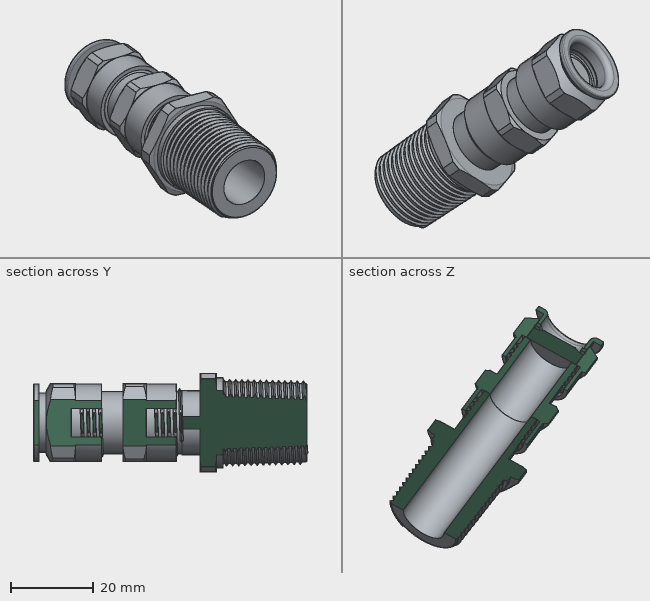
import cadquery as cq
import math


bush_flange_end = 1.35
nut_start = 2.96
bush_end = 4.25
ring_end = 5.15
seal_end = 9.2
nut_hex_end = 10.19
nut_end = 16.6
middle_hex_start = 21.76
middle_hex_end = 27.5
middle_end = 34.78
entry_neck_start = 36.15
entry_hex_start = 40.5
entry_hex_end = 44.6
entry_shoulder_end = 46.2
entry_end = 66.7

collar_radius = 18.94 / 2
neck_radius = 14.5 / 2
bush_bore_radius = 12.4 / 2
bush_lip_radius = 1.5
bush_rim_fillet = 0.25
ring_bore_radius = 11.8 / 2

seal_face_radius = 8.9 / 2
seal_cone_length = 0.6

small_across_flats = 19.0
nut_corner_radius = 10.5
middle_corner_radius = 10.6
entry_across_flats = 24.0
entry_corner_radius = 26.4 / 2
nut_nose_radius = 7.57
nut_nose_length = 1.7
nut_rear_chamfer_length = 0.3
small_chamfer_radius = 9.6
middle_chamfer_length = 0.6
entry_chamfer_radius = 12.0
entry_chamfer_length = 0.3

stem_radius = 15.27 / 2
entry_neck_radius = 15.7 / 2
passage_radius = 11.8 / 2
socket_radius = 8.4
entry_stem_start = middle_hex_end
entry_shoulder_radius = 22.03 / 2

thread_pitch = 1.5
stem_ridge_half_width = 0.42
stem_ridge_height = 0.73
taper_ridge_half_width = 0.5
taper_ridge_height = 0.6
ridge_root_sink = 0.05
middle_thread_start = 10.7
middle_thread_end = 16.7
entry_thread_start = 28.83
entry_thread_end = 36.1
taper_thread_start = 45.52
taper_thread_end = 66.36
taper_root_radius = 10.02
taper_slope = 1 / 45
entry_end_chamfer = 0.3


def cylinder(start, end, radius):
    """Solid cylinder along X."""
    return cq.Workplane("YZ").workplane(offset=start).circle(radius).extrude(end - start)


def turned(points):
    """Solid of revolution about X from (x, radius) points."""
    return cq.Workplane("XY").polyline(points).close().revolve(360, (0, 0, 0), (1, 0, 0))


def hexagon(start, end, across_flats, corner_radius, front, rear):
    """Hexagon with flats facing +Z and -Z and turned corners; front and rear are (radius, length) cones."""
    front_radius, front_length = front
    rear_radius, rear_length = rear
    prism = (
        cq.Workplane("YZ")
        .workplane(offset=start)
        .polygon(6, across_flats / math.cos(math.pi / 6))
        .extrude(end - start)
    )
    envelope = turned(
        [
            (start, 0),
            (start, front_radius),
            (start + front_length, corner_radius),
            (end - rear_length, corner_radius),
            (end, rear_radius),
            (end, 0),
        ]
    )
    return prism.intersect(envelope)


def thread_ridge(start, end, root_radius, half_width, height, slope=0.0):
    """Right-handed ridge that starts on the -Z side; its radius shrinks by slope along X."""
    length = end - start
    inner = root_radius - ridge_root_sink
    taper_angle = -math.degrees(math.atan(slope))
    if slope:
        path = cq.Wire.makeHelix(thread_pitch, length, inner, angle=taper_angle)
    else:
        path = cq.Wire.makeHelix(thread_pitch, length, inner)
    ridge = (
        cq.Workplane("XZ")
        .polyline(
            [
                (inner, -half_width),
                (root_radius + height, 0),
                (inner, half_width),
            ]
        )
        .close()
        .sweep(cq.Workplane(path), isFrenet=True)
    )
    return ridge.rotate((0, 0, 0), (0, 1, 0), 90).translate((start, 0, 0))


def stem_ridge(start, end):
    """Straight thread ridge for a stem."""
    return thread_ridge(start, end, stem_radius, stem_ridge_half_width, stem_ridge_height)


def make_bush():
    """Flanged bush with a rounded rim and a rounded entry to its bore."""
    lip_start_radius = bush_bore_radius + bush_lip_radius
    rim_shoulder = collar_radius - bush_rim_fillet
    lip_mid = bush_lip_radius * (1 - math.sqrt(0.5))
    return (
        cq.Workplane("XY")
        .moveTo(0, lip_start_radius)
        .lineTo(0, rim_shoulder)
        .radiusArc((bush_rim_fillet, collar_radius), bush_rim_fillet)
        .lineTo(bush_flange_end - bush_rim_fillet, collar_radius)
        .radiusArc((bush_flange_end, rim_shoulder), bush_rim_fillet)
        .lineTo(bush_flange_end, neck_radius)
        .lineTo(bush_end, neck_radius)
        .lineTo(bush_end, bush_bore_radius)
        .lineTo(bush_lip_radius, bush_bore_radius)
        .threePointArc((lip_mid, bush_bore_radius + lip_mid), (0, lip_start_radius))
        .close()
        .revolve(360, (0, 0, 0), (1, 0, 0))
    )


def make_ring():
    """Plain ring between the bush and the seal."""
    return cylinder(bush_end, ring_end, neck_radius).cut(cylinder(bush_end, ring_end, ring_bore_radius))


def make_seal():
    """Closed seal whose front is a truncated cone."""
    return turned(
        [
            (ring_end, 0),
            (ring_end, seal_face_radius),
            (ring_end + seal_cone_length, ring_bore_radius),
            (ring_end + seal_cone_length, neck_radius),
            (seal_end, neck_radius),
            (seal_end, 0),
        ]
    )


def make_outer_nut():
    """Hexagon nut with a round collar, bored for the bush and for the middle body's thread."""
    head = hexagon(
        nut_start,
        nut_hex_end,
        small_across_flats,
        nut_corner_radius,
        (nut_nose_radius, nut_nose_length),
        (small_chamfer_radius, nut_rear_chamfer_length),
    )
    collar = cylinder(nut_hex_end, nut_end, collar_radius)
    return (
        head.union(collar)
        .cut(cylinder(nut_start, seal_end, neck_radius))
        .cut(cylinder(seal_end, nut_end, socket_radius))
    )


def make_middle_body():
    """Threaded stem, hexagon and collar; the collar takes the entry body's stem."""
    chamfer = (small_chamfer_radius, middle_chamfer_length)
    stem = cylinder(seal_end, middle_hex_start, stem_radius)
    head = hexagon(
        middle_hex_start,
        middle_hex_end,
        small_across_flats,
        middle_corner_radius,
        chamfer,
        chamfer,
    )
    collar = cylinder(middle_hex_end, middle_end, collar_radius)
    ridge = stem_ridge(middle_thread_start, middle_thread_end)
    return (
        head.union(stem)
        .union(collar)
        .union(ridge)
        .cut(cylinder(seal_end, middle_hex_end, passage_radius))
        .cut(cylinder(entry_stem_start, middle_end, socket_radius))
    )


def make_entry_body():
    """Threaded stem, large hexagon, shoulder and tapered thread."""
    chamfer = (entry_chamfer_radius, entry_chamfer_length)
    stem = cylinder(entry_stem_start, entry_neck_start, stem_radius)
    neck = cylinder(entry_neck_start, entry_hex_start, entry_neck_radius)
    head = hexagon(
        entry_hex_start,
        entry_hex_end,
        entry_across_flats,
        entry_corner_radius,
        chamfer,
        chamfer,
    )
    shoulder = cylinder(entry_hex_end, entry_shoulder_end, entry_shoulder_radius)
    end_radius = taper_root_radius - taper_slope * (entry_end - entry_shoulder_end)
    core = turned(
        [
            (entry_shoulder_end, 0),
            (entry_shoulder_end, taper_root_radius),
            (entry_end - entry_end_chamfer, end_radius + taper_slope * entry_end_chamfer),
            (entry_end, end_radius - entry_end_chamfer),
            (entry_end, 0),
        ]
    )
    straight_ridge = stem_ridge(entry_thread_start, entry_thread_end)
    taper_ridge = thread_ridge(
        taper_thread_start,
        taper_thread_end,
        taper_root_radius,
        taper_ridge_half_width,
        taper_ridge_height,
        taper_slope,
    )
    return (
        stem.union(straight_ridge)
        .union(neck)
        .union(head)
        .union(shoulder)
        .union(core)
        .union(taper_ridge)
        .cut(cylinder(entry_stem_start, entry_end, passage_radius))
    )


bush = make_bush()
ring = make_ring()
seal = make_seal()
outer_nut = make_outer_nut()
middle_body = make_middle_body()
entry_body = make_entry_body()

result = cq.Compound.makeCompound(
    [
        bush.val(),
        ring.val(),
        seal.val(),
        outer_nut.val(),
        middle_body.val(),
        entry_body.val(),
    ]
)